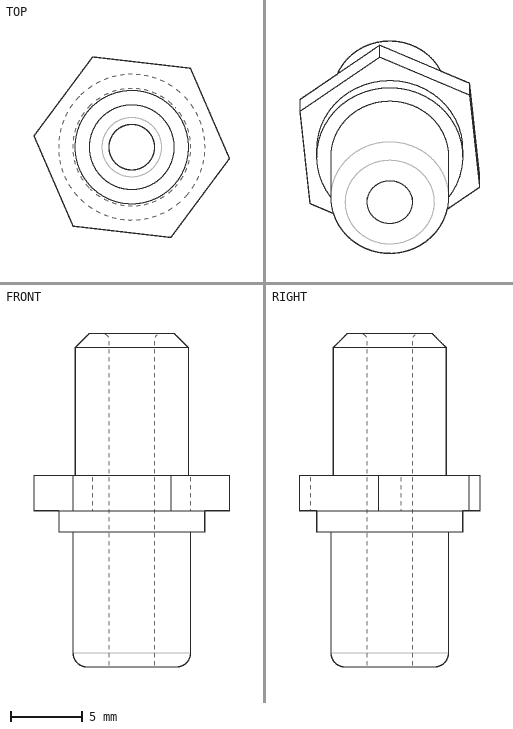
import cadquery as cq
import math

total_height = 23.5
collar_bottom = 9.5
collar_height = 1.5
hex_height = 2.5
hex_bottom = collar_bottom + collar_height
hex_top = hex_bottom + hex_height

lower_diameter = 8.3
collar_diameter = 10.3
upper_diameter = 8.0
bore_diameter = 3.2

hex_across_flats = 12.0
hex_across_corners = hex_across_flats / math.cos(math.radians(30))
hex_turn = -6.6

lower_end_fillet = 1.0
upper_end_chamfer = 1.0
bore_mouth_fillet = 0.5


def cylinder(diameter, bottom, top):
    """Solid cylinder on the Z axis between two heights."""
    return cq.Workplane("XY").workplane(offset=bottom).circle(diameter / 2).extrude(top - bottom)


lower_barrel = cylinder(lower_diameter, 0, collar_bottom).faces("<Z").edges().fillet(lower_end_fillet)
collar = cylinder(collar_diameter, collar_bottom, hex_bottom)
hexagon = (
    cq.Workplane("XY")
    .workplane(offset=hex_bottom)
    .polygon(6, hex_across_corners)
    .extrude(hex_height)
    .rotate((0, 0, 0), (0, 0, 1), hex_turn)
)
upper_barrel = cylinder(upper_diameter, hex_top, total_height).faces(">Z").edges().chamfer(upper_end_chamfer)

body = lower_barrel.union(collar).union(hexagon).union(upper_barrel)

bored_body = body.cut(cylinder(bore_diameter, 0, total_height))
result = bored_body.faces(">Z").edges(cq.selectors.RadiusNthSelector(0)).fillet(bore_mouth_fillet)